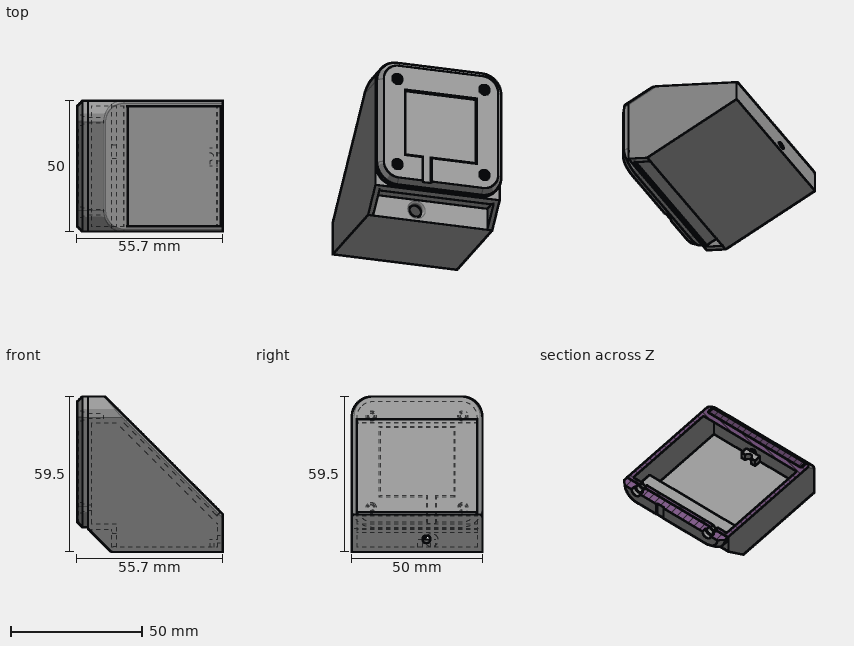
import cadquery as cq
import math

ROOT2 = math.sqrt(2)

LENGTH = 55.65
WIDTH = 50.0
HEIGHT = 59.45
CORNER_RADIUS = 8.0
WALL = 2.0

COVER_THICKNESS = 4.05
COVER_CENTRE_Z = HEIGHT - WIDTH / 2
COVER_CHAMFER = 2.0

RECESS_DEPTH = 0.5
RECESS_WIDTH = 29.0
RECESS_TOP = 48.0
RECESS_BOTTOM = 21.05
CHANNEL_WIDTH = 3.85
CABLE_Y = 5.55

SCREW_SPACING = 35.0
SCREW_HEAD_DIAMETER = 4.0
SCREW_HEAD_DEPTH = 2.0
SCREW_CLEARANCE_DIAMETER = 3.0
SCREW_PILOT_DIAMETER = 2.0
SCREW_PILOT_DEPTH = 5.95

BACK_HEIGHT = 14.4
SLOPE_TOP_X = LENGTH + BACK_HEIGHT - HEIGHT
FOOT_HEIGHT = 9.0
FOOT_X = COVER_THICKNESS + FOOT_HEIGHT
RIM_FILLET = 1.0

FRONT_WALL = 1.5
INNER_WIDTH = WIDTH - 2 * WALL
FOOT_RECESS_HEIGHT = 8.6
CABLE_HOLE_DIAMETER = 5.0
CABLE_HOLE_Z = 4.6
CABLE_HOLE_FILLET = 1.0

CAVITY_FRONT_X = COVER_THICKNESS + FRONT_WALL
CAVITY_BACK_X = LENGTH - WALL
CAVITY_TOP = 49.35

EXIT_DIAMETER = 3.0
EXIT_Y = 3.55
EXIT_Z = 4.9
BLOCK_WIDTH = 6.8
BLOCK_DEPTH = EXIT_DIAMETER

POCKET_LENGTH = 50.3
POCKET_WIDTH = 46.15
POCKET_DEPTH = WALL
POCKET_UPPER_X = 19.2
PANEL_GAP = 0.2


def facing_back(x, y=0, z=0):
    """Workplane at the given point whose normal is +X, with local axes Y and Z."""
    return cq.Workplane(cq.Plane((x, y, z), (0, 1, 0), (1, 0, 0)))


def rod(diameter, start_x, length, y, z):
    """Cylinder along +X."""
    return facing_back(start_x, y, z).circle(diameter / 2).extrude(length)


def side_profile(points, width):
    """Outline in X and Z, extruded evenly to both sides of Y = 0."""
    return cq.Workplane("XZ").polyline(points).close().extrude(width / 2, both=True)


def tapered_cut(y, bottom, top, width):
    """Recess cutter whose sides lean in by its depth, starting at the cover face."""
    return (
        facing_back(0, y, (bottom + top) / 2)
        .rect(width, top - bottom)
        .extrude(RECESS_DEPTH, taper=45)
    )


def screw_rods(diameter, start_x, length):
    """One rod along +X at each of the four screw positions."""
    rods = cq.Workplane()
    for side in (-1, 1):
        for level in (-1, 1):
            y = side * SCREW_SPACING / 2
            z = COVER_CENTRE_Z + level * SCREW_SPACING / 2
            rods = rods.add(rod(diameter, start_x, length, y, z))
    return rods.combine()


def slope_plane():
    """Centre of the panel pocket: local X runs down the slope, the normal points out."""
    centre_x = POCKET_UPPER_X + POCKET_LENGTH / ROOT2 / 2
    centre_z = LENGTH + BACK_HEIGHT - centre_x
    return cq.Workplane(cq.Plane((centre_x, 0, centre_z), (1, 0, -1), (1, 0, 1)))


def make_cover():
    plate = (
        facing_back(0, 0, COVER_CENTRE_Z)
        .rect(WIDTH, WIDTH)
        .extrude(COVER_THICKNESS)
        .edges("|X")
        .fillet(CORNER_RADIUS)
        .faces("<X")
        .edges()
        .chamfer(COVER_CHAMFER)
    )

    plate = plate.cut(tapered_cut(0, RECESS_BOTTOM, RECESS_TOP, RECESS_WIDTH))
    plate = plate.cut(tapered_cut(CABLE_Y, 0, RECESS_BOTTOM + WALL, CHANNEL_WIDTH))

    plate = plate.cut(screw_rods(SCREW_HEAD_DIAMETER, 0, SCREW_HEAD_DEPTH))
    return plate.cut(screw_rods(SCREW_CLEARANCE_DIAMETER, 0, COVER_THICKNESS))


def make_wedge():
    """Solid outer form of the housing."""
    wedge = side_profile(
        [
            (COVER_THICKNESS, FOOT_HEIGHT),
            (FOOT_X, 0),
            (LENGTH, 0),
            (LENGTH, BACK_HEIGHT),
            (SLOPE_TOP_X, HEIGHT),
            (COVER_THICKNESS, HEIGHT),
        ],
        WIDTH,
    )
    wedge = wedge.faces(">Z").edges("|X").fillet(CORNER_RADIUS)
    slope_direction = cq.Vector(1, 0, 1)
    slope_face = wedge.faces(cq.selectors.DirectionMinMaxSelector(slope_direction, True))
    return slope_face.edges("not >X").fillet(RIM_FILLET)


def make_cavity():
    """Inner space above the foot recess shelf and behind the partition, less the exit block."""
    partition_back_x = FOOT_X + WALL
    shelf_top = FOOT_RECESS_HEIGHT + WALL
    ceiling_sum = LENGTH + BACK_HEIGHT - (POCKET_DEPTH + WALL) * ROOT2
    cavity = side_profile(
        [
            (CAVITY_FRONT_X, shelf_top),
            (partition_back_x, shelf_top),
            (partition_back_x, WALL),
            (CAVITY_BACK_X, WALL),
            (CAVITY_BACK_X, ceiling_sum - CAVITY_BACK_X),
            (ceiling_sum - CAVITY_TOP, CAVITY_TOP),
            (CAVITY_FRONT_X, CAVITY_TOP),
        ],
        INNER_WIDTH,
    )
    return cavity.cut(make_exit_block())


def make_exit_block():
    """Block on the floor against the back wall, with an upright half-round groove in its front face."""
    front_x = CAVITY_BACK_X - BLOCK_DEPTH
    block_height = EXIT_Z - WALL
    block = cq.Workplane().box(BLOCK_DEPTH, BLOCK_WIDTH, block_height, centered=(False, True, False))
    groove = cq.Workplane().circle(EXIT_DIAMETER / 2).extrude(block_height)
    return block.cut(groove).translate((front_x, EXIT_Y, WALL))


def make_foot_recess():
    depth = FOOT_X - CAVITY_FRONT_X
    recess = cq.Workplane().box(depth, INNER_WIDTH, FOOT_RECESS_HEIGHT, centered=(False, True, False))
    return recess.translate((CAVITY_FRONT_X, 0, 0))


def make_cable_hole():
    """Hole through the partition, with a rounded mouth towards the foot recess."""
    radius = CABLE_HOLE_DIAMETER / 2
    mouth_radius = radius + CABLE_HOLE_FILLET
    bend = CABLE_HOLE_FILLET * (1 - 1 / ROOT2)
    return (
        cq.Workplane("XY", origin=(FOOT_X, CABLE_Y, CABLE_HOLE_Z))
        .lineTo(0, mouth_radius)
        .threePointArc((bend, radius + bend), (CABLE_HOLE_FILLET, radius))
        .lineTo(WALL, radius)
        .lineTo(WALL, 0)
        .close()
        .revolve(360, (0, 0, 0), (1, 0, 0))
    )


def make_housing():
    housing = make_wedge().cut(make_cavity()).cut(make_foot_recess()).cut(make_cable_hole())
    housing = housing.cut(rod(EXIT_DIAMETER, CAVITY_BACK_X, WALL, EXIT_Y, EXIT_Z))
    housing = housing.cut(screw_rods(SCREW_PILOT_DIAMETER, COVER_THICKNESS, SCREW_PILOT_DEPTH))
    pocket = slope_plane().rect(POCKET_LENGTH, POCKET_WIDTH).extrude(-POCKET_DEPTH)
    return housing.cut(pocket)


def make_panel():
    """Panel flush with the slope, with an even gap to the pocket sides."""
    panel_length = POCKET_LENGTH - 2 * PANEL_GAP
    panel_width = POCKET_WIDTH - 2 * PANEL_GAP
    return slope_plane().rect(panel_length, panel_width).extrude(-POCKET_DEPTH)


cover = make_cover()
housing = make_housing()
panel = make_panel()

result = cq.Compound.makeCompound([cover.solids().val(), housing.solids().val(), panel.val()])